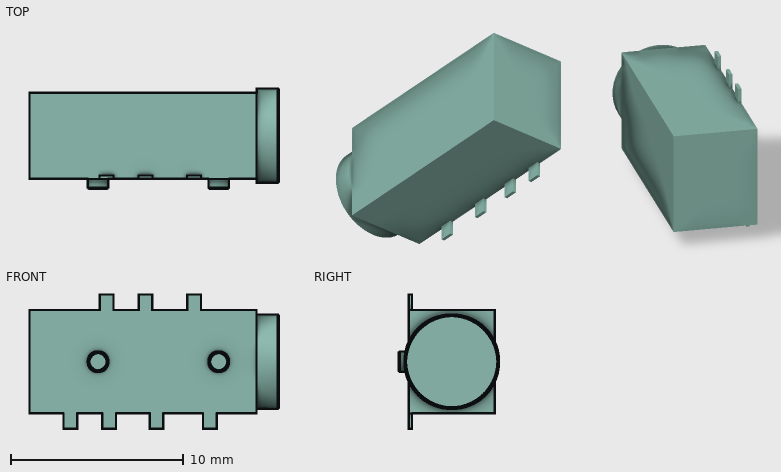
import cadquery as cq

total_length = 14.5
body_length = 13.2
body_depth = 5.0
body_height = 6.0

collar_diameter = 5.5
collar_length = total_length - body_length
collar_chamfer = 0.1

peg_diameter = 1.2
peg_length = 0.6
peg_chamfer = 0.1
first_peg_x = 3.99
peg_spacing = 7.0

lead_width = 0.81
lead_length = 0.9
lead_thickness = 0.2
upper_lead_centers = [4.48, 6.74, 9.57]
lower_lead_centers = [2.38, 4.63, 7.38, 10.48]

front_y = -body_depth / 2
half_height = body_height / 2


def make_body():
    return cq.Workplane("XY").box(body_length, body_depth, body_height).translate((body_length / 2, 0, 0))


def make_collar():
    collar = cq.Workplane("YZ", origin=(body_length, 0, 0)).circle(collar_diameter / 2).extrude(collar_length)
    return collar.faces(">X").chamfer(collar_chamfer)


def make_peg(center_x):
    peg = cq.Workplane("XZ", origin=(center_x, front_y, 0)).circle(peg_diameter / 2).extrude(peg_length)
    return peg.faces("<Y").chamfer(peg_chamfer)


def make_lead(center_x, side):
    """Lead standing out of the top (side = 1) or bottom (side = -1) face."""
    center_y = front_y + lead_thickness / 2
    center_z = side * (half_height + lead_length / 2)
    return cq.Workplane("XY").box(lead_width, lead_thickness, lead_length).translate((center_x, center_y, center_z))


result = make_body().union(make_collar())

for peg_x in (first_peg_x, first_peg_x + peg_spacing):
    result = result.union(make_peg(peg_x))

for lead_x in upper_lead_centers:
    result = result.union(make_lead(lead_x, 1))

for lead_x in lower_lead_centers:
    result = result.union(make_lead(lead_x, -1))